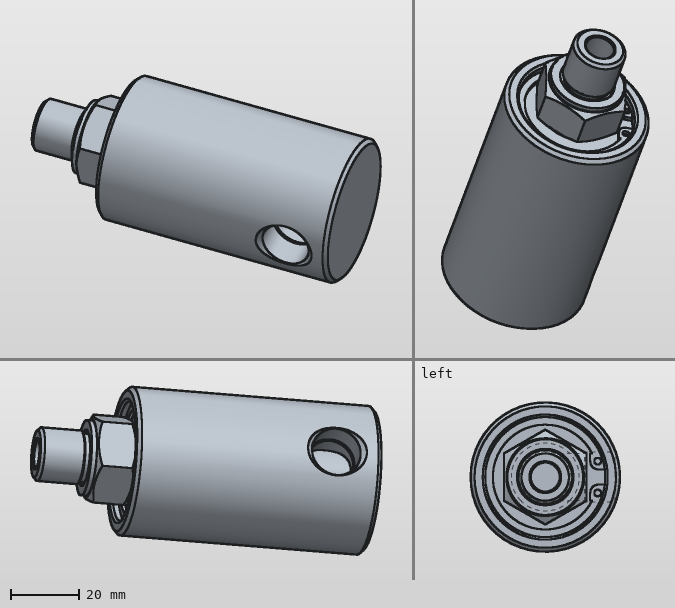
import cadquery as cq
import math

total_length = 98.9
spigot_face = -total_length / 2
body_end = total_length / 2

spigot_diameter = 15.8
spigot_length = 12.9
spigot_chamfer = 1.0
relief_diameter = 14.2
relief_length = 1.5
relief_step_diameter = 15.0
relief_taper = 0.4
collar_diameter = 22.2
collar_length = 1.5
collar_recess_diameter = 16.5
collar_recess_depth = 0.5

hex_length = 11.9
neck_diameter = 19.9
hex_across_flats = 24.0
hex_chamfer_start_diameter = 22.7
hex_chamfer_angle = 30.0

body_diameter = 43.7
body_length = 73.1
body_chamfer = 1.2

mouth_diameter = 36.6
seat_diameter = 35.1
ring_depth = 2.5
ring_thickness = 1.2

ring_inner_diameter = 30.7
ring_gap = 4.45
lug_inner_offset = 13.2
lug_height = 4.6
lug_corner_radius = 2.4
lug_hole_diameter = 2.0
lug_hole_offset = 15.3
lug_hole_height = 4.6

passage_diameter = 8.5
passage_chamfer = 0.4

port_from_body_end = 13.4
port_mouth_diameter = 17.6
port_diameter = 14.5
port_inner_diameter = 13.8
port_step_depth = 10.1
shaft_diameter = 15.8

body_face = body_end - body_length
port_x = body_end - port_from_body_end
spigot_end = spigot_face + spigot_length
collar_face = spigot_end + relief_length
hex_face = collar_face + collar_length
hex_back = hex_face + hex_length
ring_face = body_face + ring_depth
mouth_floor = ring_face + ring_thickness

body_radius = body_diameter / 2
mouth_radius = mouth_diameter / 2
seat_radius = seat_diameter / 2


def cylinder_x(diameter, start, end):
    """Cylinder on the X axis between two positions."""
    return cq.Workplane("YZ").workplane(offset=start).circle(diameter / 2).extrude(end - start)


def revolve_x(points):
    """Turn a closed (x, radius) outline about the X axis."""
    return cq.Workplane("XY").polyline(points).close().revolve(360, (0, 0, 0), (1, 0, 0))


def make_body():
    """Chamfered cylinder with an open mouth that tapers to the ring seat."""
    shell = cylinder_x(body_diameter, body_face, body_end).edges().chamfer(body_chamfer)
    mouth = revolve_x([
        (body_face, 0),
        (body_face, mouth_radius),
        (body_face + mouth_radius - seat_radius, seat_radius),
        (mouth_floor, seat_radius),
        (mouth_floor, 0),
    ])
    return shell.cut(mouth)


def make_hexagon():
    """Hexagon with corners chamfered at both ends, carried on a round neck."""
    corner_radius = hex_across_flats / 2 / math.cos(math.pi / 6)
    prism = (
        cq.Workplane("YZ").workplane(offset=hex_face)
        .polygon(6, 2 * corner_radius).extrude(hex_length)
        .rotate((0, 0, 0), (1, 0, 0), 90)
    )
    start_radius = hex_chamfer_start_diameter / 2
    cone_length = (corner_radius - start_radius) * math.tan(math.radians(hex_chamfer_angle))
    envelope = revolve_x([
        (hex_face, 0),
        (hex_face, start_radius),
        (hex_face + cone_length, corner_radius),
        (hex_back - cone_length, corner_radius),
        (hex_back, start_radius),
        (hex_back, 0),
    ])
    neck = cylinder_x(neck_diameter, hex_back, mouth_floor)
    return prism.intersect(envelope).union(neck)


def make_spigot():
    """Spigot, relief groove and collar; a shallow recess surrounds the groove in the collar face."""
    spigot_radius = spigot_diameter / 2
    relief_radius = relief_diameter / 2
    recess_radius = collar_recess_diameter / 2
    recess_floor = collar_face + collar_recess_depth
    collar_radius = collar_diameter / 2
    return revolve_x([
        (spigot_face, 0),
        (spigot_face, spigot_radius - spigot_chamfer),
        (spigot_face + spigot_chamfer, spigot_radius),
        (spigot_end, spigot_radius),
        (spigot_end, relief_step_diameter / 2),
        (spigot_end + relief_taper, relief_radius),
        (recess_floor, relief_radius),
        (recess_floor, recess_radius),
        (collar_face, recess_radius),
        (collar_face, collar_radius),
        (hex_face, collar_radius),
        (hex_face, 0),
    ])


def make_retaining_ring():
    """Open ring with two drilled lugs beside its gap on the -Y side."""
    plane = cq.Workplane("YZ").workplane(offset=ring_face)
    ring = plane.circle(seat_radius).circle(ring_inner_diameter / 2).extrude(ring_thickness)
    lug_width = seat_radius - lug_inner_offset
    lug_middle = -(lug_inner_offset + lug_width / 2)
    lugs = (
        plane.center(lug_middle, 0).rect(lug_width, ring_gap + 2 * lug_height)
        .extrude(ring_thickness)
    )
    gap = plane.center(lug_middle, 0).rect(lug_width, ring_gap).extrude(ring_thickness)
    holes = (
        plane.pushPoints([(-lug_hole_offset, side * lug_hole_height) for side in (-1, 1)])
        .circle(lug_hole_diameter / 2).extrude(ring_thickness)
    )
    lugs = lugs.cut(gap).edges("|X and >Y").edges("not(>Z or <Z)").fillet(lug_corner_radius)
    return (
        ring.cut(gap).union(lugs).cut(holes)
        .intersect(cylinder_x(seat_diameter, ring_face, mouth_floor))
    )


def make_passage():
    """Blind axial hole from the spigot face, chamfered at its entry."""
    passage_radius = passage_diameter / 2
    return revolve_x([
        (spigot_face, 0),
        (spigot_face, passage_radius + passage_chamfer),
        (spigot_face + passage_chamfer, passage_radius),
        (port_x, passage_radius),
        (port_x, 0),
    ])


def make_port():
    """Countersunk bore with a tapered step, from the -Y side, that ends on the round shaft."""
    mouth = port_mouth_diameter / 2
    outer = port_diameter / 2
    inner = port_inner_diameter / 2
    bore = (
        cq.Workplane("XY").polyline([
            (0, -body_radius),
            (mouth, -body_radius),
            (outer, -body_radius + mouth - outer),
            (outer, -body_radius + port_step_depth),
            (inner, -body_radius + port_step_depth + outer - inner),
            (inner, 0),
            (0, 0),
        ]).close().revolve(360, (0, 0, 0), (0, 1, 0))
        .translate((port_x, 0, 0))
    )
    return bore.cut(cylinder_x(shaft_diameter, body_face, body_end))


result = (
    make_body()
    .union(make_hexagon())
    .union(make_spigot())
    .union(make_retaining_ring())
    .cut(make_passage())
    .cut(make_port())
)